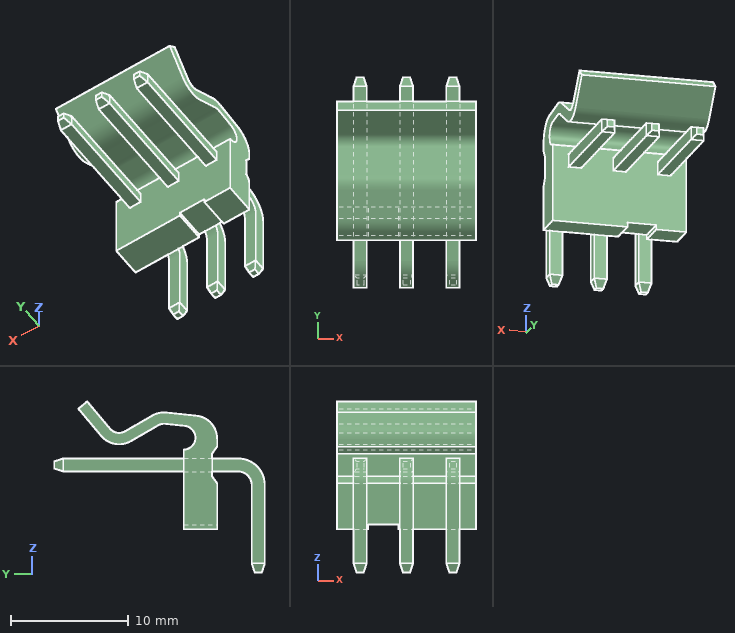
import cadquery as cq
import math


width = 11.87
block_depth = 2.88
key_slot_width = 2.55
key_slot_height = 0.4

recess_depth = 0.43
recess_floor_half_height = 0.97
recess_mouth_half_height = 1.57

strip_thickness = 0.99
bend_inner_radius = 1.0
bend_outer_radius = bend_inner_radius + strip_thickness
shoulder_center_z = 7.72
roof_slope = 6.0
descent_slope = -30.0
tip_slope = 50.0
roof_length = 2.55
descent_length = 2.7
tip_length = 3.04

pin_count = 3
pin_pitch = 3.95
pin_size = 1.13
pin_axis_z = 5.49
pin_front_y = -4.07
pin_back_y = 13.92
pin_bottom_z = -3.7
pin_bend_inner_radius = 1.15
pin_bend_outer_radius = pin_bend_inner_radius + pin_size
taper_length = 0.8
taper_end_size = 0.61

key_slot_x = -pin_pitch / 2


def along(point, slope, distance):
    """Point reached by moving in the YZ plane at a slope in degrees above +Y."""
    angle = math.radians(slope)
    return (point[0] + distance * math.cos(angle), point[1] + distance * math.sin(angle))


def offset(point, slope, distance):
    """Point reached by moving along the upward normal of a line with that slope."""
    return along(point, slope + 90, distance)


def make_housing_body():
    shoulder_center = (bend_outer_radius, shoulder_center_z)
    roof_start = offset(shoulder_center, roof_slope, bend_outer_radius)
    roof_end = along(roof_start, roof_slope, roof_length)
    crest_center = offset(roof_end, roof_slope, -bend_outer_radius)
    descent_start = offset(crest_center, descent_slope, bend_outer_radius)
    descent_end = along(descent_start, descent_slope, descent_length)
    valley_center = offset(descent_end, descent_slope, bend_inner_radius)
    tip_start = offset(valley_center, tip_slope, -bend_inner_radius)
    tip_end = along(tip_start, tip_slope, tip_length)

    throat_run = (block_depth - bend_outer_radius) / math.cos(math.radians(roof_slope))
    throat_center = along(shoulder_center, roof_slope, throat_run)
    throat_top = offset(throat_center, roof_slope, bend_inner_radius)
    throat_front = along(throat_center, 180, bend_inner_radius)
    throat_bottom = along(throat_center, -90, bend_inner_radius)

    shoulder_mid_slope = (roof_slope + 90) / 2
    crest_mid_slope = (roof_slope + descent_slope) / 2
    valley_mid_slope = (descent_slope + tip_slope) / 2

    outline = (
        cq.Workplane("YZ", origin=(-width / 2, 0, 0))
        .moveTo(0, 0)
        .lineTo(0, pin_axis_z - recess_mouth_half_height)
        .lineTo(recess_depth, pin_axis_z - recess_floor_half_height)
        .lineTo(recess_depth, pin_axis_z + recess_floor_half_height)
        .lineTo(0, pin_axis_z + recess_mouth_half_height)
        .lineTo(0, shoulder_center_z)
        .threePointArc(offset(shoulder_center, shoulder_mid_slope, bend_outer_radius), roof_start)
        .lineTo(*roof_end)
        .threePointArc(offset(crest_center, crest_mid_slope, bend_outer_radius), descent_start)
        .lineTo(*descent_end)
        .threePointArc(offset(valley_center, valley_mid_slope, -bend_inner_radius), tip_start)
        .lineTo(*tip_end)
        .lineTo(*offset(tip_end, tip_slope, -strip_thickness))
        .lineTo(*offset(tip_start, tip_slope, -strip_thickness))
        .threePointArc(
            offset(valley_center, valley_mid_slope, -bend_outer_radius),
            offset(descent_end, descent_slope, -strip_thickness),
        )
        .lineTo(*offset(descent_start, descent_slope, -strip_thickness))
        .threePointArc(
            offset(crest_center, crest_mid_slope, bend_inner_radius),
            offset(roof_end, roof_slope, -strip_thickness),
        )
        .lineTo(*throat_top)
        .threePointArc(throat_front, throat_bottom)
        .lineTo(block_depth, 0)
        .close()
    )
    return outline.extrude(width)


def make_key_slot():
    """Shallow slot running front to back through the underside of the block."""
    return (
        cq.Workplane("XY")
        .center(key_slot_x, block_depth / 2)
        .rect(key_slot_width, block_depth)
        .extrude(key_slot_height)
    )


def make_taper(base_plane):
    """Four-sided point growing along the normal of its base plane."""
    return (
        cq.Workplane(base_plane)
        .rect(pin_size, pin_size)
        .workplane(offset=taper_length)
        .rect(taper_end_size, taper_end_size)
        .loft(ruled=True)
    )


def make_pin(x):
    """Square wire bent from horizontal to vertical, with a taper at both ends."""
    leg_y = pin_front_y + pin_size / 2
    leg_end_z = pin_bottom_z + taper_length
    arm_end_y = pin_back_y - taper_length
    arm_top_z = pin_axis_z + pin_size / 2
    arm_bottom_z = arm_top_z - pin_size
    leg_back_y = pin_front_y + pin_size
    bend_center = (pin_front_y + pin_bend_outer_radius, arm_top_z - pin_bend_outer_radius)

    wire = (
        cq.Workplane("YZ", origin=(x - pin_size / 2, 0, 0))
        .moveTo(pin_front_y, leg_end_z)
        .lineTo(pin_front_y, bend_center[1])
        .threePointArc(along(bend_center, 135, pin_bend_outer_radius), (bend_center[0], arm_top_z))
        .lineTo(arm_end_y, arm_top_z)
        .lineTo(arm_end_y, arm_bottom_z)
        .lineTo(bend_center[0], arm_bottom_z)
        .threePointArc(along(bend_center, 135, pin_bend_inner_radius), (leg_back_y, bend_center[1]))
        .lineTo(leg_back_y, leg_end_z)
        .close()
        .extrude(pin_size)
    )
    leg_end = cq.Plane(origin=(x, leg_y, leg_end_z), xDir=(1, 0, 0), normal=(0, 0, -1))
    arm_end = cq.Plane(origin=(x, arm_end_y, pin_axis_z), xDir=(1, 0, 0), normal=(0, 1, 0))
    return wire.union(make_taper(leg_end)).union(make_taper(arm_end))


pins = []
for index in range(pin_count):
    pin_x = (index - (pin_count - 1) / 2) * pin_pitch
    pins.append(make_pin(pin_x))

housing = make_housing_body().cut(make_key_slot())
for pin in pins:
    housing = housing.cut(pin)

result = cq.Compound.makeCompound([housing.solids().val(), *[pin.solids().val() for pin in pins]])